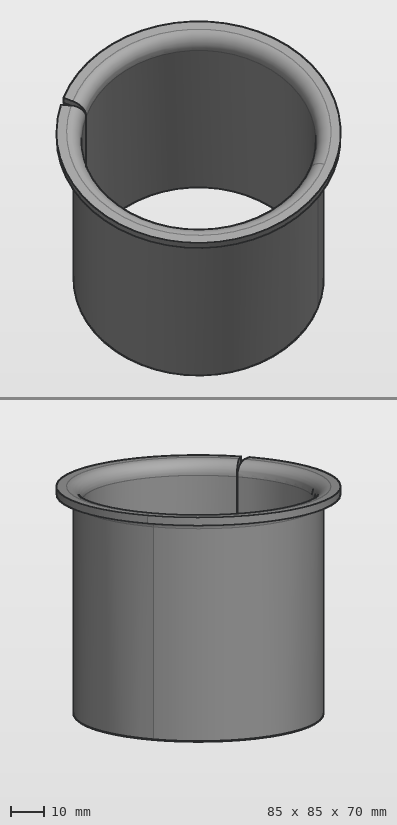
import cadquery as cq
import math

flange_radius = 42.5
height = 70.0
tube_radius = 37.5
wall = 2.5
outer_bend_radius = 2.0
bottom_chamfer = 0.4

gap_at_rim = 2.7
gap_at_bore = 0.25

bore_radius = tube_radius - wall
inner_bend_radius = outer_bend_radius + wall
bend_center_radius = tube_radius + outer_bend_radius
flange_underside = height - wall
bend_start = flange_underside - outer_bend_radius


def bend_midpoint(radius):
    """Middle of a quarter bend, as (distance from the axis, height)."""
    offset = radius * math.sqrt(0.5)
    return (bend_center_radius - offset, bend_start + offset)


def make_bushing():
    """Revolve the sheet section, with a constant wall around the bend."""
    section = (
        cq.Workplane("XZ")
        .moveTo(bore_radius, 0)
        .lineTo(tube_radius - bottom_chamfer, 0)
        .lineTo(tube_radius, bottom_chamfer)
        .lineTo(tube_radius, bend_start)
        .threePointArc(bend_midpoint(outer_bend_radius), (bend_center_radius, flange_underside))
        .lineTo(flange_radius, flange_underside)
        .lineTo(flange_radius, height)
        .lineTo(bend_center_radius, height)
        .threePointArc(bend_midpoint(inner_bend_radius), (bore_radius, bend_start))
        .close()
    )
    return section.revolve(360, (0, 0, 0), (0, 1, 0))


def make_seam_gap():
    """Full-height wedge, turned so that its +Y side meets the rim at Y = 0."""
    half_rim = gap_at_rim / 2
    half_bore = gap_at_bore / 2
    side_slope = (half_rim - half_bore) / (flange_radius - bore_radius)
    clearance = 0.85
    inside = bore_radius - half_bore / side_slope
    outside = flange_radius + clearance
    half_outside = half_rim + side_slope * clearance
    turn = math.degrees(math.asin(half_rim / flange_radius))
    wedge = (
        cq.Workplane("XY")
        .moveTo(-inside, 0)
        .lineTo(-outside, half_outside)
        .lineTo(-outside, -half_outside)
        .close()
        .extrude(height)
    )
    return wedge.rotate((0, 0, 0), (0, 0, 1), turn)


result = make_bushing().cut(make_seam_gap())